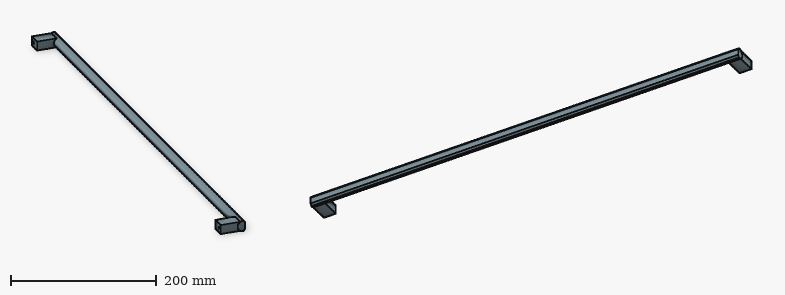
import cadquery as cq

length = 684.0
depth = 36.0
bar_diameter = 16.0

bar_radius = bar_diameter / 2
bar_axis_from_back = 3.5
bar_chamfer = 2.4

post_width = 19.0
post_height = 14.0

hole_diameter = 3.0
hole_depth = 14.0
hole_end_distance = 6.0

bar_axis_y = depth - bar_axis_from_back
bar_front_y = bar_axis_y - bar_radius
flat_half_height = (bar_radius**2 - bar_axis_from_back**2) ** 0.5


def make_bar():
    """Round-fronted section with a flat back, extruded over the full length."""
    return (
        cq.Workplane("YZ", origin=(-length / 2, 0, 0))
        .moveTo(depth, flat_half_height)
        .threePointArc((bar_front_y, 0), (depth, -flat_half_height))
        .close()
        .extrude(length)
        .faces(">Y")
        .edges("|X")
        .chamfer(bar_chamfer)
    )


def make_post(side, bar):
    """Post at the -X (side = -1) or +X (side = 1) end, saddled to fit the bar."""
    center_x = side * (length - post_width) / 2
    hole_x = side * (length / 2 - hole_end_distance)
    block = (
        cq.Workplane("XY")
        .box(post_width, bar_axis_y, post_height)
        .translate((center_x, bar_axis_y / 2, 0))
    )
    hole = (
        cq.Workplane("XZ", origin=(hole_x, 0, 0))
        .circle(hole_diameter / 2)
        .extrude(-hole_depth)
    )
    return block.cut(bar).cut(hole)


bar = make_bar()
posts = [make_post(side, bar) for side in (-1, 1)]

result = cq.Compound.makeCompound([bar.val(), *[post.val() for post in posts]])